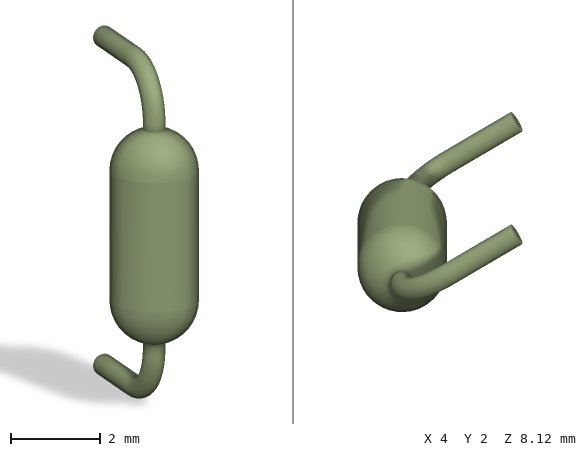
import cadquery as cq

overall_height = 8.12
overall_length = 4.0
body_diameter = 2.0
body_length = 5.0
lead_diameter = 0.5
bend_radius = 1.2

body_radius = body_diameter / 2
lead_radius = lead_diameter / 2
cap_start = body_length / 2 - body_radius
lead_level = overall_height / 2 - lead_radius
bend_start = lead_level - bend_radius
lead_tip = body_radius - overall_length


def make_body():
    """Cylinder with a hemispherical cap at each end."""
    half_profile = (
        cq.Workplane("XZ")
        .moveTo(0, -body_length / 2)
        .radiusArc((body_radius, -cap_start), -body_radius)
        .lineTo(body_radius, cap_start)
        .radiusArc((0, body_length / 2), -body_radius)
        .close()
    )
    return half_profile.revolve(360, (0, 0), (0, 1))


def make_upper_lead():
    """Round wire rising from inside the body, then bent towards -X."""
    path = (
        cq.Workplane("XZ")
        .moveTo(0, cap_start)
        .lineTo(0, bend_start)
        .radiusArc((-bend_radius, lead_level), -bend_radius)
        .lineTo(lead_tip, lead_level)
    )
    return cq.Workplane("XY", origin=(0, 0, cap_start)).circle(lead_radius).sweep(path)


upper_lead = make_upper_lead()
lower_lead = upper_lead.mirror("XY")

result = make_body().union(upper_lead).union(lower_lead)